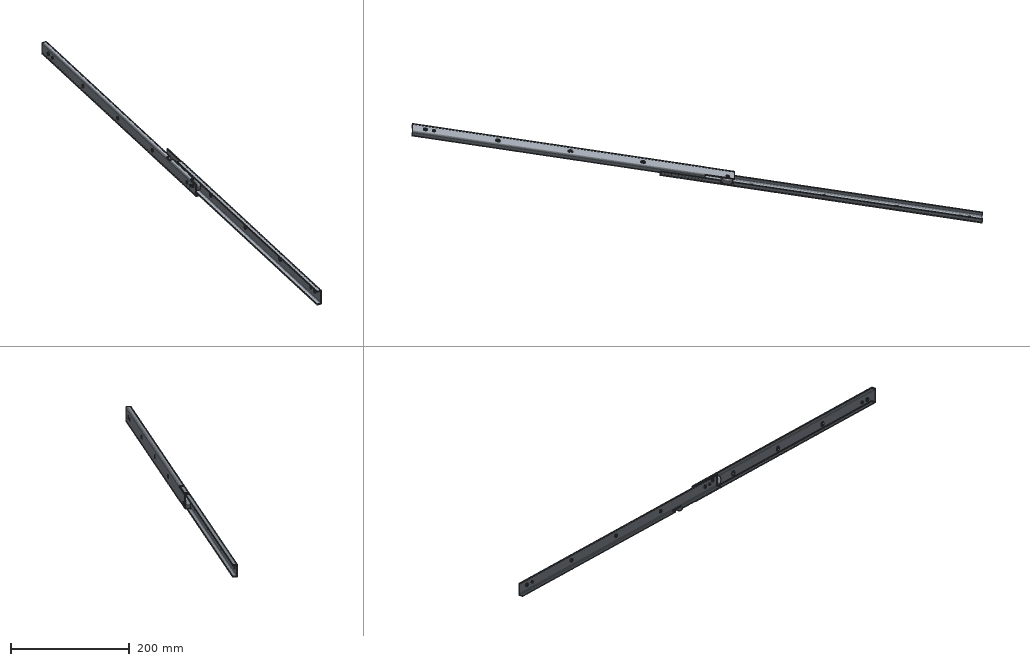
import cadquery as cq


RAIL_LENGTH = 550.0
EXTENSION = 425.0
TOTAL_WIDTH = 13.4
TOTAL_HEIGHT = 29.6

SHEET = 1.8
BEND_RADIUS = 2.0

CABINET_WEB_Y = -TOTAL_WIDTH / 2
CABINET_TOP = 8.4
CABINET_BOTTOM = -13.75
CABINET_WIDTH = 8.3
TOP_WINDOW_START = 442.0
TOP_WINDOW_END = 454.0

DRAWER_WEB_Y = TOTAL_WIDTH / 2
DRAWER_TOP = TOTAL_HEIGHT / 2
DRAWER_BOTTOM = -11.7
DRAWER_WIDTH = 8.4
FLANGE_CUTBACK = 50.0

ROLLER_RADIUS = 10.0
ROLLER_WIDTH = 8.0
ROLLER_EDGE_RADIUS = 1.0
ROLLER_WEB_GAP = 1.0
ROLLER_SETBACK = 11.5
ROLLER_CLEARANCE = 1.0
AXLE_RADIUS = 2.9
CABINET_ROLLER_X = RAIL_LENGTH - ROLLER_SETBACK
CABINET_ROLLER_Z = 1.6
DRAWER_ROLLER_X = EXTENSION + ROLLER_SETBACK
DRAWER_ROLLER_Z = ROLLER_RADIUS - TOTAL_HEIGHT / 2

HOLE_PITCH = 124.0
CABINET_HOLE_Z = -2.65
CABINET_HOLE_COUNT = 5
CABINET_HOLE_XS = [21.8 + i * HOLE_PITCH for i in range(CABINET_HOLE_COUNT)]
CABINET_HOLE_DIAMETER = 5.8
CABINET_SMALL_HOLE_XS = [36.8, 530.0]
CABINET_SMALL_HOLE_DIAMETER = 4.2
DRAWER_HOLE_Z = 2.0
DRAWER_HOLE_COUNT = 3
DRAWER_HOLE_XS = [581.0 + i * HOLE_PITCH for i in range(DRAWER_HOLE_COUNT)]
DRAWER_HOLE_DIAMETER = 5.5
DRAWER_SINK_DIAMETER = 8.5
DRAWER_FRONT_HOLE_X = DRAWER_HOLE_XS[-1] + HOLE_PITCH
DRAWER_FRONT_HOLE_DIAMETER = 6.3
DRAWER_SMALL_HOLE_X = 938.5
DRAWER_SMALL_HOLE_DIAMETER = 5.0


def box(x_range, y_range, z_range):
    """Box spanning the given ranges; each range may be given in either order."""
    low = [min(span) for span in (x_range, y_range, z_range)]
    size = [max(span) - min(span) for span in (x_range, y_range, z_range)]
    return cq.Workplane("XY").box(*size, centered=False).translate(tuple(low))


def y_cylinder(x, z, radius, y_range):
    """Cylinder along Y."""
    low, high = sorted(y_range)
    return cq.Workplane("XZ", origin=(x, low, z)).circle(radius).extrude(low - high)


def channel(x_start, web_y, side, width, bottom, top):
    """C rail along X; side is the Y direction (+1 or -1) from its web to its open side."""
    x_range = (x_start, x_start + RAIL_LENGTH)
    y_open = web_y + side * width
    web_corners = "|X and <Y" if side > 0 else "|X and >Y"
    outside = box(x_range, (web_y, y_open), (bottom, top))
    inside = box(x_range, (web_y + side * SHEET, y_open), (bottom + SHEET, top - SHEET))
    outside = outside.edges(web_corners).fillet(BEND_RADIUS)
    inside = inside.edges(web_corners).fillet(BEND_RADIUS - SHEET)
    return outside.cut(inside)


def cut_flange(rail, x_range, web_y, side, z_range):
    """Remove a stretch of flange from the bend line outwards, leaving the web."""
    y_range = (web_y + side * BEND_RADIUS, web_y + side * TOTAL_WIDTH)
    return rail.cut(box(x_range, y_range, z_range))


def drill(rail, x_positions, z, diameter):
    """Round holes along Y through the web."""
    for x in x_positions:
        rail = rail.cut(y_cylinder(x, z, diameter / 2, (-TOTAL_WIDTH, TOTAL_WIDTH)))
    return rail


def countersink(rail, x_positions):
    """Cones that widen the drawer rail holes towards the inside of the channel."""
    hole_radius = DRAWER_HOLE_DIAMETER / 2
    sink_radius = DRAWER_SINK_DIAMETER / 2
    for x in x_positions:
        mouth = cq.Vector(x, DRAWER_WEB_Y - SHEET, DRAWER_HOLE_Z)
        depth = sink_radius - hole_radius
        cone = cq.Solid.makeCone(sink_radius, hole_radius, depth, mouth, cq.Vector(0, 1, 0))
        rail = rail.cut(cq.Workplane(cone))
    return rail


def make_cabinet_rail():
    rail = channel(0, CABINET_WEB_Y, 1, CABINET_WIDTH, CABINET_BOTTOM, CABINET_TOP)
    reach = ROLLER_RADIUS + ROLLER_CLEARANCE
    upper = (0, TOTAL_HEIGHT)
    lower = (-TOTAL_HEIGHT, CABINET_BOTTOM + SHEET)

    rail = cut_flange(rail, (CABINET_ROLLER_X - reach, RAIL_LENGTH), CABINET_WEB_Y, 1, upper)
    rail = cut_flange(rail, (TOP_WINDOW_START, TOP_WINDOW_END), CABINET_WEB_Y, 1, upper)
    rail = cut_flange(rail, (DRAWER_ROLLER_X - reach, DRAWER_ROLLER_X + reach), CABINET_WEB_Y, 1, lower)

    rail = drill(rail, CABINET_HOLE_XS, CABINET_HOLE_Z, CABINET_HOLE_DIAMETER)
    rail = drill(rail, CABINET_SMALL_HOLE_XS, CABINET_HOLE_Z, CABINET_SMALL_HOLE_DIAMETER)
    return drill(rail, [CABINET_ROLLER_X], CABINET_ROLLER_Z, 2 * AXLE_RADIUS)


def make_drawer_rail():
    rail = channel(EXTENSION, DRAWER_WEB_Y, -1, DRAWER_WIDTH, DRAWER_BOTTOM, DRAWER_TOP)

    rear = (EXTENSION, EXTENSION + FLANGE_CUTBACK)
    full_width = (-TOTAL_WIDTH, TOTAL_WIDTH)
    rail = rail.cut(box(rear, full_width, (DRAWER_TOP - BEND_RADIUS, TOTAL_HEIGHT)))
    rail = rail.cut(box(rear, full_width, (DRAWER_BOTTOM + BEND_RADIUS, -TOTAL_HEIGHT)))

    rail = drill(rail, DRAWER_HOLE_XS, DRAWER_HOLE_Z, DRAWER_HOLE_DIAMETER)
    rail = countersink(rail, DRAWER_HOLE_XS)
    rail = drill(rail, [DRAWER_FRONT_HOLE_X], DRAWER_HOLE_Z, DRAWER_FRONT_HOLE_DIAMETER)
    rail = drill(rail, [DRAWER_SMALL_HOLE_X], DRAWER_HOLE_Z, DRAWER_SMALL_HOLE_DIAMETER)
    return drill(rail, [DRAWER_ROLLER_X], DRAWER_ROLLER_Z, 2 * AXLE_RADIUS)


def make_roller(x, z, web_y, side):
    """Roller on the given side of a web, with an axle ending flush with the web's outer face."""
    near = web_y + side * (SHEET + ROLLER_WEB_GAP)
    far = near + side * ROLLER_WIDTH
    wheel = y_cylinder(x, z, ROLLER_RADIUS, (near, far)).edges("%CIRCLE").fillet(ROLLER_EDGE_RADIUS)
    axle = y_cylinder(x, z, AXLE_RADIUS, (web_y, near))
    return wheel.union(axle)


cabinet_rail = make_cabinet_rail()
drawer_rail = make_drawer_rail()
cabinet_roller = make_roller(CABINET_ROLLER_X, CABINET_ROLLER_Z, CABINET_WEB_Y, 1)
drawer_roller = make_roller(DRAWER_ROLLER_X, DRAWER_ROLLER_Z, DRAWER_WEB_Y, -1)

result = cq.Compound.makeCompound(
    [cabinet_rail.val(), drawer_rail.val(), cabinet_roller.val(), drawer_roller.val()]
)